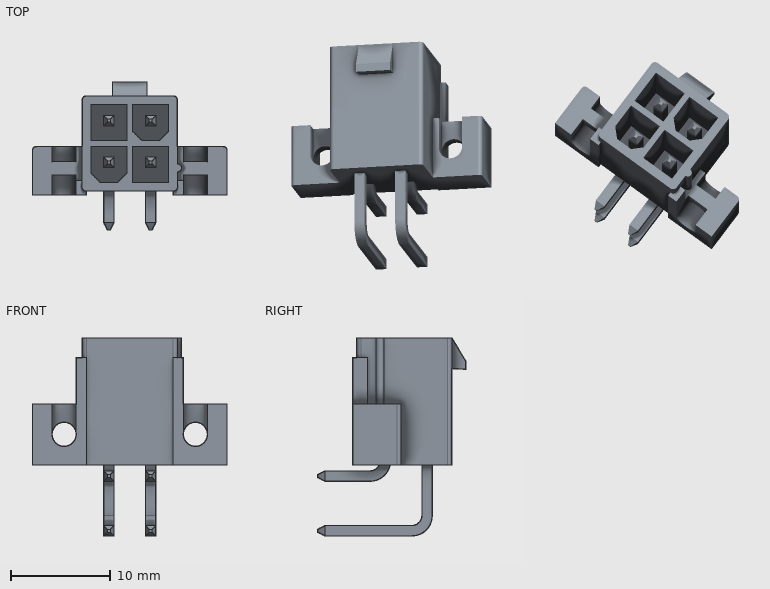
import cadquery as cq


PITCH = 4.2
HOUSING_SIDE = 9.6
HOUSING_HEIGHT = 12.8
CORNER_RADIUS = 0.45
HALF_SIDE = HOUSING_SIDE / 2
COLUMNS = (-PITCH / 2, PITCH / 2)

POCKET_SIDE = 3.6
POCKET_DEPTH = 10.0
POCKET_CHAMFER = 0.92
POCKET_FLOOR = HOUSING_HEIGHT - POCKET_DEPTH

LATCH_WIDTH = 3.5
LATCH_REACH = 1.4
LATCH_RAMP_DROP = 2.35
LATCH_TIP_DROP = 3.17
LATCH_ROOT_DROP = 3.1

KEY_RADIUS = 0.4
KEY_Y = -2.45

EAR_TIP_X = 9.8
EAR_ROOT_X = HALF_SIDE - CORNER_RADIUS
EAR_BACK_Y = -0.3
EAR_FRONT_Y = -5.18
EAR_HEIGHT = 6.17
EAR_CORNER_RADIUS = 0.4
POST_OUTER_X = 5.4
POST_BACK_Y = -3.7
POST_HEIGHT = 10.8
HOLE_DIAMETER = 2.4
HOLE_X = POST_OUTER_X + HOLE_DIAMETER / 2
HOLE_Z = 3.1
WEB_BACK_Y = -1.82
WEB_FRONT_Y = -3.18

PIN_WIDTH = 1.06
PIN_ROW_OFFSET = 0.2
PIN_TOP_Z = 9.0
PIN_TIP_Y = -8.7
PIN_TIP_LENGTH = 0.75
PIN_TIP_WIDTH = 0.3
PIN_INNER_BEND_RADIUS = 1.0
PIN_BEND_RADIUS = PIN_INNER_BEND_RADIUS + PIN_WIDTH / 2
FRONT_LEG_Z = -1.1
LEG_SPACING = 5.5


def box_between(x0, x1, y0, y1, z0, z1):
    """Box spanning the given coordinate ranges."""
    return cq.Workplane("XY").box(x1 - x0, y1 - y0, z1 - z0, centered=False).translate((x0, y0, z0))


def make_housing():
    """Solid housing block with rounded vertical edges."""
    block = cq.Workplane("XY").rect(HOUSING_SIDE, HOUSING_SIDE).extrude(HOUSING_HEIGHT)
    return block.edges("|Z").fillet(CORNER_RADIUS)


def make_pocket(x, y, chamfered):
    """Pocket cutter; the keyed form has both -Y corners chamfered."""
    pocket = (
        cq.Workplane("XY", origin=(x, y, POCKET_FLOOR))
        .rect(POCKET_SIDE, POCKET_SIDE)
        .extrude(POCKET_DEPTH)
    )
    if chamfered:
        pocket = pocket.faces("<Y").edges("|Z").chamfer(POCKET_CHAMFER)
    return pocket


def make_latch():
    """Latch ramp, extended inward to the housing centre so that it merges with the wall."""
    tip_y = HALF_SIDE + LATCH_REACH
    profile = [
        (HALF_SIDE, HOUSING_HEIGHT),
        (tip_y, HOUSING_HEIGHT - LATCH_RAMP_DROP),
        (tip_y, HOUSING_HEIGHT - LATCH_TIP_DROP),
        (HALF_SIDE, HOUSING_HEIGHT - LATCH_ROOT_DROP),
        (0.0, HOUSING_HEIGHT - LATCH_ROOT_DROP),
        (0.0, HOUSING_HEIGHT),
    ]
    return cq.Workplane("YZ").polyline(profile).close().extrude(LATCH_WIDTH / 2, both=True)


def make_key_rib():
    """Full-height cylinder centred on the +X wall, leaving a half-round rib outside."""
    return cq.Workplane("XY").center(HALF_SIDE, KEY_Y).circle(KEY_RADIUS).extrude(HOUSING_HEIGHT)


def make_hole(y0, y1):
    """Cutter for the round mounting hole between two Y positions."""
    return (
        cq.Workplane("XZ", origin=(HOLE_X, y1, HOLE_Z))
        .circle(HOLE_DIAMETER / 2)
        .extrude(y1 - y0)
    )


def make_slot(y0, y1):
    """Cutter for a slot open at the ear top, with a round bottom concentric with the hole."""
    radius = HOLE_DIAMETER / 2
    upper = box_between(HOLE_X - radius, HOLE_X + radius, y0, y1, HOLE_Z, EAR_HEIGHT)
    return make_hole(y0, y1).union(upper)


def make_right_ear():
    """Ear on the +X side: block, tall post, two slots and the hole through the web between them."""
    block = box_between(EAR_ROOT_X, EAR_TIP_X, EAR_FRONT_Y, EAR_BACK_Y, 0, EAR_HEIGHT)
    block = block.edges("|Z and >X and >Y").fillet(EAR_CORNER_RADIUS)
    block = block.cut(make_slot(EAR_FRONT_Y, WEB_FRONT_Y))
    block = block.cut(make_slot(WEB_BACK_Y, EAR_BACK_Y))
    block = block.cut(make_hole(WEB_FRONT_Y, WEB_BACK_Y))
    post = box_between(EAR_ROOT_X, POST_OUTER_X, EAR_FRONT_Y, POST_BACK_Y, 0, POST_HEIGHT)
    return block.union(post)


def make_tip(plane):
    """Tapered square pin end, growing along the plane normal."""
    return (
        cq.Workplane(plane)
        .rect(PIN_WIDTH, PIN_WIDTH)
        .workplane(offset=PIN_TIP_LENGTH)
        .rect(PIN_TIP_WIDTH, PIN_TIP_WIDTH)
        .loft(combine=True)
    )


def make_pin(x, y, leg_z):
    """Square pin running down from the pocket, then bent toward -Y at height leg_z."""
    contact_end_z = PIN_TOP_Z - PIN_TIP_LENGTH
    contact_end = (x, y, contact_end_z)
    leg_end_y = PIN_TIP_Y + PIN_TIP_LENGTH
    path = (
        cq.Workplane("YZ", origin=(x, 0, 0))
        .moveTo(y, contact_end_z)
        .lineTo(y, leg_z + PIN_BEND_RADIUS)
        .tangentArcPoint((y - PIN_BEND_RADIUS, leg_z), relative=False)
        .lineTo(leg_end_y, leg_z)
    )
    shaft = cq.Workplane("XY", origin=contact_end).rect(PIN_WIDTH, PIN_WIDTH).sweep(path)
    contact_tip = make_tip(cq.Plane(origin=contact_end, xDir=(1, 0, 0), normal=(0, 0, 1)))
    leg_tip = make_tip(cq.Plane(origin=(x, leg_end_y, leg_z), xDir=(1, 0, 0), normal=(0, -1, 0)))
    return shaft.union(contact_tip).union(leg_tip)


right_ear = make_right_ear()
result = make_housing().union(make_latch()).union(make_key_rib())
result = result.union(right_ear).union(right_ear.mirror("YZ"))

for pocket_x in COLUMNS:
    for pocket_y in COLUMNS:
        result = result.cut(make_pocket(pocket_x, pocket_y, pocket_x == pocket_y))

for pin_x in COLUMNS:
    result = result.union(make_pin(pin_x, PIN_ROW_OFFSET - PITCH / 2, FRONT_LEG_Z))
    result = result.union(make_pin(pin_x, PIN_ROW_OFFSET + PITCH / 2, FRONT_LEG_Z - LEG_SPACING))